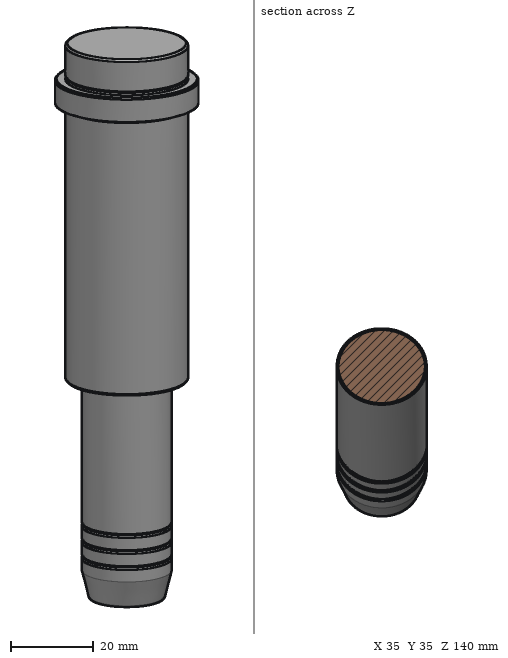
import cadquery as cq

total_height = 140.0
flange_top = 131.0
flange_bottom = 125.0
body_bottom = 55.0
nose_height = 7.0

flange_diameter = 35.0
body_diameter = 30.0
shank_diameter = 22.0
tip_diameter = 18.5

body_chamfer = 0.5
flange_chamfer = 0.4
tip_fillet = 0.7
undercut_width = 0.7
undercut_depth = 0.4

groove_count = 3
lowest_groove_height = 10.5
groove_pitch = 4.0
groove_width = 1.0
groove_depth = 0.4


def cylinder(diameter, bottom, top):
    return cq.Workplane("XY").workplane(offset=bottom).circle(diameter / 2).extrude(top - bottom)


def ring_groove(diameter, bottom, width, depth):
    """Ring of material to cut from a cylinder of the given diameter."""
    inner = cylinder(diameter - 2 * depth, bottom, bottom + width)
    return cylinder(diameter + 2 * depth, bottom, bottom + width).cut(inner)


def v_groove(diameter, middle, width, depth):
    """V-section ring whose mouth lies on the cylinder surface."""
    radius = diameter / 2
    profile = (
        cq.Workplane("XZ")
        .moveTo(radius, middle - width / 2)
        .lineTo(radius - depth, middle)
        .lineTo(radius, middle + width / 2)
        .close()
    )
    return profile.revolve(360, (0, 0, 0), (0, 1, 0))


def nose():
    """Conical tip with a rounded end edge."""
    tip_radius = tip_diameter / 2
    shank_radius = shank_diameter / 2
    profile = (
        cq.Workplane("XZ")
        .lineTo(tip_radius, 0)
        .lineTo(shank_radius, nose_height)
        .lineTo(0, nose_height)
        .close()
    )
    return profile.revolve(360, (0, 0, 0), (0, 1, 0)).faces("<Z").edges().fillet(tip_fillet)


shank = cylinder(shank_diameter, nose_height, body_bottom)
body = cylinder(body_diameter, body_bottom, flange_bottom).faces("<Z").edges().chamfer(body_chamfer)
flange = cylinder(flange_diameter, flange_bottom, flange_top).faces(">Z").edges().chamfer(flange_chamfer)
head = cylinder(body_diameter, flange_top, total_height).faces(">Z").edges().chamfer(body_chamfer)
result = nose().union(shank).union(body).union(flange).union(head)

shank_undercut_bottom = body_bottom - undercut_width
result = result.cut(ring_groove(shank_diameter, shank_undercut_bottom, undercut_width, undercut_depth))
for middle in (flange_top + groove_width / 2, flange_bottom - groove_width / 2):
    result = result.cut(v_groove(body_diameter, middle, groove_width, groove_depth))

for index in range(groove_count):
    middle = lowest_groove_height + index * groove_pitch
    result = result.cut(v_groove(shank_diameter, middle, groove_width, groove_depth))